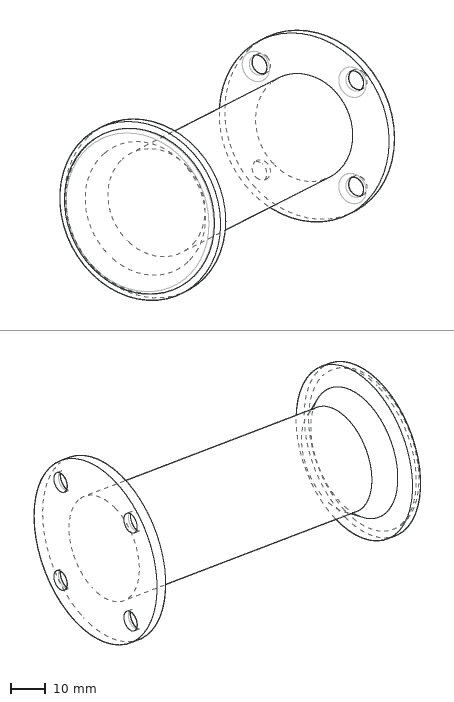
import cadquery as cq

length = 100.0
front = -length / 2
back = length / 2

flange_radius = 28.0
flange_thickness = 3.2
flange_front = back - flange_thickness

tube_radius = 16.0
cone_radius = 19.8
cone_length = 6.5

disc_radius = 26.5
disc_thickness = 3.0
cap_radius = 24.5
cap_height = 1.5
cap_round = 1.0
disc_front = front + cap_height
disc_back = disc_front + disc_thickness
cone_back = disc_back + cone_length

hole_count = 4
hole_circle_radius = 22.5
hole_diameter = 6.0
mouth_round = 1.5
mouth_radius = hole_diameter / 2 + mouth_round
first_hole_angle = 45


def turned_body():
    """Solid of revolution about Y, from the cap to the flange."""
    profile = (
        cq.Workplane("XY")
        .moveTo(0, front)
        .lineTo(cap_radius - cap_round, front)
        .radiusArc((cap_radius, front + cap_round), -cap_round)
        .lineTo(cap_radius, disc_front)
        .lineTo(disc_radius, disc_front)
        .lineTo(disc_radius, disc_back)
        .lineTo(cone_radius, disc_back)
        .lineTo(tube_radius, cone_back)
        .lineTo(tube_radius, flange_front)
        .lineTo(flange_radius, flange_front)
        .lineTo(flange_radius, back)
        .lineTo(0, back)
        .close()
    )
    return profile.revolve(360, (0, 0), (0, 1))


def screw_hole_cutter():
    """Cutter for one hole along Y with a rounded mouth on the tube side of the flange."""
    profile = (
        cq.Workplane("XY")
        .moveTo(0, flange_front)
        .lineTo(mouth_radius, flange_front)
        .radiusArc((hole_diameter / 2, flange_front + mouth_round), mouth_round)
        .lineTo(hole_diameter / 2, back)
        .lineTo(0, back)
        .close()
    )
    cutter = profile.revolve(360, (0, 0), (0, 1))
    return cutter.translate((hole_circle_radius, 0, 0))


result = turned_body()
for index in range(hole_count):
    angle = first_hole_angle + index * 360 / hole_count
    result = result.cut(screw_hole_cutter().rotate((0, 0, 0), (0, 1, 0), angle))